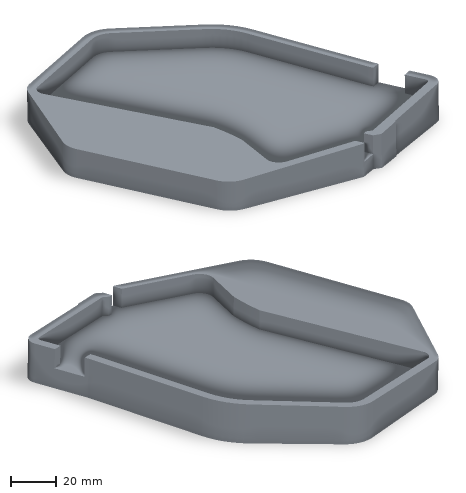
import cadquery as cq
import math

length = 162.5
front_height = 14.3
tilt = 2.0
wall = 4.5
pocket_depth = 9.3
cut_margin = 16.3

right_side = 162.0
port_side = 159.8
back = 132.0
front_right = 125.2
front_right_angle = 60.0
chamfer_leg = 43.0
left_corner = 106.3
peak = (52.5, 138.2)
back_bend = 127.1
left_corner_radius = 14.5
peak_radius = 35.8
back_right_radius = 6.8
front_radius = 12.2
front_left_radius = 10.0

back_gap_start = 129.4
back_gap_end = 145.0
port_bottom = 61.0
port_top = 69.1

pad_top = 85.5
pad_bottom = port_top + length - port_side

pocket_left_front = (wall, 41.0)
crest = (93.0, 45.4)
crest_arc_middle = (101.8, 42.9)
crest_arc_end = (110.0, 39.8)
pocket_tip = (134.1, 24.2)
pocket_left_radius = 5.2
pocket_tip_radius = 6.3
lip_reach = 2.3
lip_straight = 2.0

slope = math.tan(math.radians(front_right_angle))
port_corner = (port_side, (port_side - front_right) * slope)


def top_plane(depth=0.0):
    """Plane parallel to the sloping top face, a given depth below it."""
    lean = math.radians(tilt)
    normal = cq.Vector(0, -math.sin(lean), math.cos(lean))
    origin = cq.Vector(0, 0, front_height) - normal * depth
    return cq.Plane(origin=origin, xDir=(1, 0, 0), normal=normal)


def inset_corner(before, corner, after):
    """Move a corner inward by the wall, for an outline that runs clockwise."""
    angle_in = math.atan2(corner[1] - before[1], corner[0] - before[0])
    angle_out = math.atan2(after[1] - corner[1], after[0] - corner[0])
    half_turn = (angle_out - angle_in) / 2
    middle = angle_in + half_turn
    reach = wall / math.cos(half_turn)
    return (corner[0] + reach * math.sin(middle), corner[1] - reach * math.cos(middle))


def round_corner(before, corner, after, radius):
    """Return the start, middle and end of the arc that rounds a corner."""
    c = cq.Vector(*corner)
    toward_before = (cq.Vector(*before) - c).normalized()
    toward_after = (cq.Vector(*after) - c).normalized()
    half_angle = toward_before.getAngle(toward_after) / 2
    run = radius / math.tan(half_angle)
    bisector = (toward_before + toward_after).normalized()
    middle = c + bisector * (radius / math.sin(half_angle) - radius)
    return c + toward_before * run, middle, c + toward_after * run


def rounded_prism(corners, depth):
    """Extrude a closed outline of (point, radius) corners down from the top face."""
    points = [point for point, radius in corners]
    sketch = cq.Workplane(top_plane()).moveTo(*points[0])
    for i in range(1, len(corners)):
        point, radius = corners[i]
        if radius == 0:
            sketch = sketch.lineTo(*point)
            continue
        following = points[(i + 1) % len(points)]
        start, middle, end = round_corner(points[i - 1], point, following, radius)
        sketch = sketch.lineTo(start.x, start.y)
        sketch = sketch.threePointArc((middle.x, middle.y), (end.x, end.y))
    return sketch.close().extrude(-depth)


left_front = (0, chamfer_leg)
left_back = (0, left_corner)
back_corner = (back_bend, back)
right_back = (right_side, back)
outer_corners = [
    (port_corner, 0),
    ((front_right, 0), front_radius),
    ((chamfer_leg, 0), front_radius),
    (left_front, front_left_radius),
    (left_back, left_corner_radius),
    (peak, peak_radius),
    (back_corner, 0),
    (right_back, back_right_radius),
    ((right_side, pad_top), 0),
    ((length, pad_top), 0),
    ((length, pad_bottom), 0),
    ((port_side, port_top), 0),
]
body_depth = front_height + peak[1] * math.tan(math.radians(tilt)) + cut_margin
body = rounded_prism(outer_corners, body_depth)
below_base = cq.Workplane("XY").rect(4 * length, 4 * length).extrude(-2 * cut_margin)
body = body.cut(below_base)

inner_right = right_side - wall
lip_x = inner_right - lip_reach
port_inner = (lip_x, port_bottom)
lip_start = port_top + lip_straight
pocket_corners = [
    (crest_arc_end, 0),
    (crest, 0),
    (pocket_left_front, pocket_left_radius),
    (inset_corner(left_front, left_back, peak), left_corner_radius - wall),
    (inset_corner(left_back, peak, back_corner), peak_radius - wall),
    (inset_corner(peak, back_corner, right_back), 0),
    ((inner_right, back - wall), back_right_radius - wall),
    ((inner_right, lip_start + lip_reach), 0),
    ((lip_x, lip_start), 0),
    (port_inner, 0),
    (pocket_tip, pocket_tip_radius),
]
pocket = rounded_prism(pocket_corners, pocket_depth)

crest_segment = (
    cq.Workplane(top_plane())
    .moveTo(*crest)
    .threePointArc(crest_arc_middle, crest_arc_end)
    .close()
    .extrude(-pocket_depth)
)
pocket = pocket.cut(crest_segment)


def gap(x_start, x_end, y_start, y_end):
    """Block that opens the wall down to the pocket floor."""
    return (
        cq.Workplane(top_plane())
        .moveTo((x_start + x_end) / 2, (y_start + y_end) / 2)
        .rect(x_end - x_start, y_end - y_start)
        .extrude(-pocket_depth)
    )


back_gap = gap(back_gap_start, back_gap_end, back - wall, back + cut_margin)
port = gap(lip_x, length + cut_margin, port_bottom, port_top)

result = body.cut(pocket).cut(back_gap).cut(port)